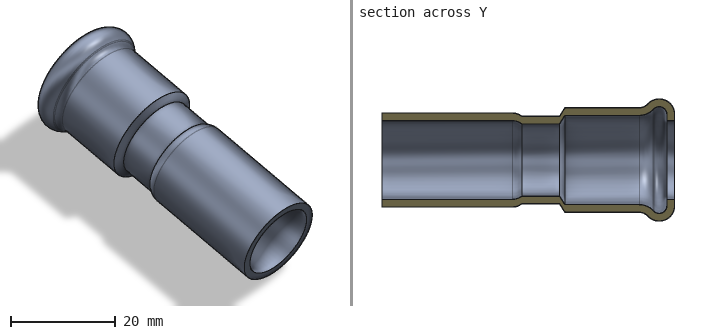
import cadquery as cq
import math

length = 56.0
wall = 1.5

rim_radius = 11.7
rim_face_radius = 8.75
rim_round = rim_radius - rim_face_radius
lip_radius = 7.5
rim_slope_angle = 45
rim_fillet = 2.1

socket_radius = 10.0
socket_end = 21.0
neck_radius = 8.4
neck_start = 22.0
neck_end = 29.25
tube_radius = 9.0
tube_start = 30.95


def polar(center, radius, degrees):
    """Point on a circle in the (axial, radial) plane."""
    angle = math.radians(degrees)
    return (center[0] + radius * math.cos(angle), center[1] + radius * math.sin(angle))


rim_center = (rim_round, rim_face_radius)
slope_start = polar(rim_center, rim_round, rim_slope_angle)
fillet_drop = rim_fillet * (1 - math.cos(math.radians(rim_slope_angle)))
slope_end_radius = socket_radius + fillet_drop
slope_run = (slope_start[1] - slope_end_radius) / math.tan(math.radians(rim_slope_angle))
fillet_run = rim_fillet * math.sin(math.radians(rim_slope_angle))
fillet_center = (slope_start[0] + slope_run + fillet_run, socket_radius + rim_fillet)

shoulder_length = tube_start - neck_end
shoulder_rise = tube_radius - neck_radius
shoulder_round = (shoulder_length**2 + shoulder_rise**2) / (2 * shoulder_rise)
shoulder_angle = math.degrees(math.asin(shoulder_length / shoulder_round))


def turned_body(depth):
    """Solid bounded by the surface lying `depth` below the outer skin, from the rim to the tube end."""
    round_radius = rim_round - depth
    fillet_radius = rim_fillet + depth
    tube_wall = tube_radius - depth
    shoulder_center = (tube_start, tube_wall - shoulder_round)
    shoulder_middle = polar(shoulder_center, shoulder_round, 90 + shoulder_angle / 2)
    fillet_start_angle = 270 - rim_slope_angle
    fillet_middle_angle = 270 - rim_slope_angle / 2
    rim_middle_angle = (180 + rim_slope_angle) / 2
    profile = (
        cq.Workplane("XY")
        .moveTo(depth, 0)
        .lineTo(depth, rim_face_radius)
        .threePointArc(
            polar(rim_center, round_radius, rim_middle_angle),
            polar(rim_center, round_radius, rim_slope_angle),
        )
        .lineTo(*polar(fillet_center, fillet_radius, fillet_start_angle))
        .threePointArc(
            polar(fillet_center, fillet_radius, fillet_middle_angle),
            polar(fillet_center, fillet_radius, 270),
        )
        .lineTo(socket_end, socket_radius - depth)
        .lineTo(neck_start, neck_radius - depth)
        .lineTo(neck_end, neck_radius - depth)
        .threePointArc(shoulder_middle, (tube_start, tube_wall))
        .lineTo(length, tube_wall)
        .lineTo(length, 0)
        .close()
    )
    return profile.revolve(360, (0, 0, 0), (1, 0, 0))


outside = turned_body(0)
inside = turned_body(wall)
lip_opening = cq.Workplane("YZ").circle(lip_radius).extrude(rim_round)

result = outside.cut(inside).cut(lip_opening)